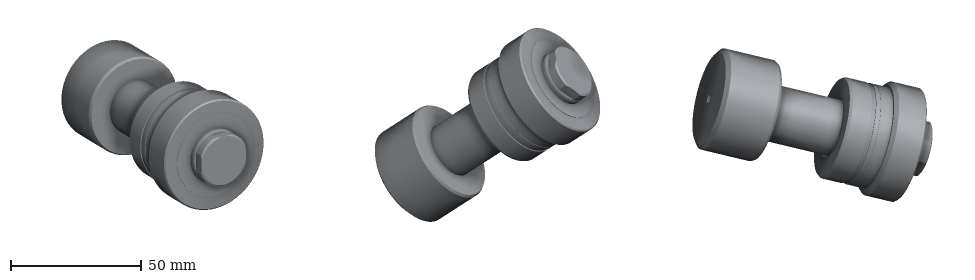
import cadquery as cq
import math


total_length = 88.0
head_radius = 20.0
head_length = 22.5
head_front_chamfer_length = 1.5
head_front_chamfer_depth = 1.9
head_rear_chamfer_length = 1.1
shaft_radius = 11.0
shaft_chamfer_start_x = 83.2
shaft_chamfer_end_x = 83.95
square_end_radius = 10.7
square_across_flats = 20.0
square_end_chamfer_length = 0.4
square_end_chamfer_depth = 0.8
start_x = -total_length / 2

center_mouth_radius = 2.0
center_pilot_radius = 1.0
center_pilot_length = 2.0
center_cone_half_angle = math.radians(30)
drill_tip_half_angle = math.radians(59)

sleeve_start_x = 50.4
sleeve_radius = head_radius
sleeve_chamfer_length = head_rear_chamfer_length
wide_groove_start_x = 59.2
wide_groove_end_x = 61.1
wide_groove_depth = 0.4
bore_mouth_chamfer = 1.0
narrow_groove_start_x = 62.7
narrow_groove_width = 0.3
narrow_groove_depth = 0.2
flange_radius = 45.0 / 2
flange_start_x = 68.0
flange_front_chamfer = 1.5
flange_end_x = 81.05
flange_rear_chamfer = 0.5
boss_radius = 16.7
boss_end_x = 81.3

gentle_slope = math.tan(math.radians(30))
head_rear_chamfer_depth = head_rear_chamfer_length * gentle_slope
sleeve_chamfer_depth = sleeve_chamfer_length * gentle_slope


def revolve_about_x(points):
    """Revolve a closed (distance from the head face, radius) outline about X."""
    outline = cq.Workplane("XY").polyline(points).close()
    solid = outline.revolve(360, (0, 0, 0), (1, 0, 0))
    return solid.translate((start_x, 0, 0))


def make_center_drilling():
    """Countersunk centre hole with a conical drill tip."""
    cone_depth = (center_mouth_radius - center_pilot_radius) / math.tan(center_cone_half_angle)
    pilot_end_x = cone_depth + center_pilot_length
    tip_x = pilot_end_x + center_pilot_radius / math.tan(drill_tip_half_angle)
    return revolve_about_x([
        (0, 0),
        (0, center_mouth_radius),
        (cone_depth, center_pilot_radius),
        (pilot_end_x, center_pilot_radius),
        (tip_x, 0),
    ])


def make_square_end_envelope():
    """Full-width block for the turned part, narrowing to a square at the end."""
    square_length = total_length - shaft_chamfer_end_x
    turned_block = cq.Workplane("XY").box(
        shaft_chamfer_end_x, 2 * head_radius, 2 * head_radius, centered=(False, True, True)
    )
    square_block = cq.Workplane("XY").box(
        square_length, square_across_flats, square_across_flats, centered=(False, True, True)
    )
    envelope = turned_block.union(square_block.translate((shaft_chamfer_end_x, 0, 0)))
    return envelope.translate((start_x, 0, 0))


def make_plunger():
    turned = revolve_about_x([
        (0, 0),
        (0, head_radius - head_front_chamfer_depth),
        (head_front_chamfer_length, head_radius),
        (head_length - head_rear_chamfer_length, head_radius),
        (head_length, head_radius - head_rear_chamfer_depth),
        (head_length, shaft_radius),
        (shaft_chamfer_start_x, shaft_radius),
        (shaft_chamfer_end_x, square_end_radius),
        (total_length - square_end_chamfer_length, square_end_radius),
        (total_length, square_end_radius - square_end_chamfer_depth),
        (total_length, 0),
    ])
    return turned.intersect(make_square_end_envelope()).cut(make_center_drilling())


def make_ring_groove(groove_start_x, groove_end_x, depth):
    """Ring of material to remove from the outside of the sleeve."""
    return revolve_about_x([
        (groove_start_x, sleeve_radius - depth),
        (groove_start_x, flange_radius),
        (groove_end_x, flange_radius),
        (groove_end_x, sleeve_radius - depth),
    ])


def make_bushing():
    blank = revolve_about_x([
        (sleeve_start_x + bore_mouth_chamfer, shaft_radius),
        (sleeve_start_x, shaft_radius + bore_mouth_chamfer),
        (sleeve_start_x, sleeve_radius - sleeve_chamfer_depth),
        (sleeve_start_x + sleeve_chamfer_length, sleeve_radius),
        (flange_start_x, sleeve_radius),
        (flange_start_x, flange_radius - flange_front_chamfer),
        (flange_start_x + flange_front_chamfer, flange_radius),
        (flange_end_x - flange_rear_chamfer, flange_radius),
        (flange_end_x, flange_radius - flange_rear_chamfer),
        (flange_end_x, boss_radius),
        (boss_end_x, boss_radius),
        (boss_end_x, shaft_radius),
    ])
    wide_groove = make_ring_groove(wide_groove_start_x, wide_groove_end_x, wide_groove_depth)
    narrow_groove = make_ring_groove(
        narrow_groove_start_x, narrow_groove_start_x + narrow_groove_width, narrow_groove_depth
    )
    return blank.cut(wide_groove).cut(narrow_groove)


plunger = make_plunger()
bushing = make_bushing()
result = cq.Compound.makeCompound([*plunger.solids().vals(), *bushing.solids().vals()])